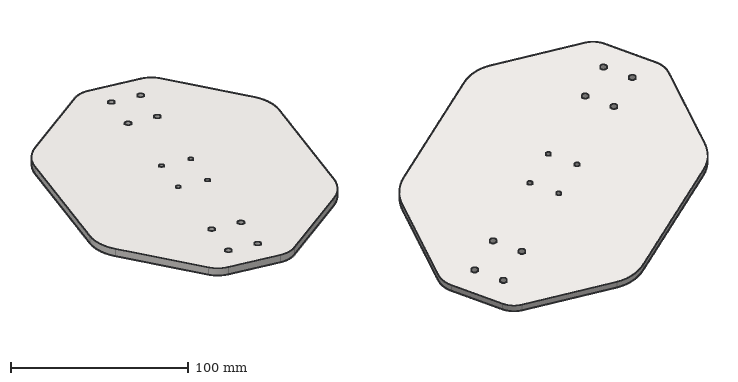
import cadquery as cq

length = 200.0
width = 150.0
thickness = 5.0
long_edge_half = length / 4
short_edge_half = 22.0
long_edge_radius = 25.0
short_edge_radius = 15.0

hole_pitch_x = 24.0
hole_pitch_y = 18.0
outer_group_x = 72.0
outer_hole_diameter = 4.0
center_hole_diameter = 3.0


def rounded_plate():
    """Octagonal plate with its eight vertical corners rounded."""
    half_length = length / 2
    half_width = width / 2
    corners = [
        (long_edge_half, half_width),
        (half_length, short_edge_half),
        (half_length, -short_edge_half),
        (long_edge_half, -half_width),
        (-long_edge_half, -half_width),
        (-half_length, -short_edge_half),
        (-half_length, short_edge_half),
        (-long_edge_half, half_width),
    ]
    plate = cq.Workplane("XY").polyline(corners).close().extrude(thickness)
    plate = plate.edges("|Z").edges(">Y or <Y").fillet(long_edge_radius)
    return plate.edges("|Z").edges(">X or <X").fillet(short_edge_radius)


def drill_group(plate, center_x, diameter):
    """Drill a 2 x 2 group of through holes centered on the X axis."""
    return (
        plate.faces(">Z")
        .workplane(origin=(center_x, 0, thickness))
        .rarray(hole_pitch_x, hole_pitch_y, 2, 2)
        .hole(diameter)
    )


result = rounded_plate()
for group_x in (-outer_group_x, outer_group_x):
    result = drill_group(result, group_x, outer_hole_diameter)
result = drill_group(result, 0, center_hole_diameter)